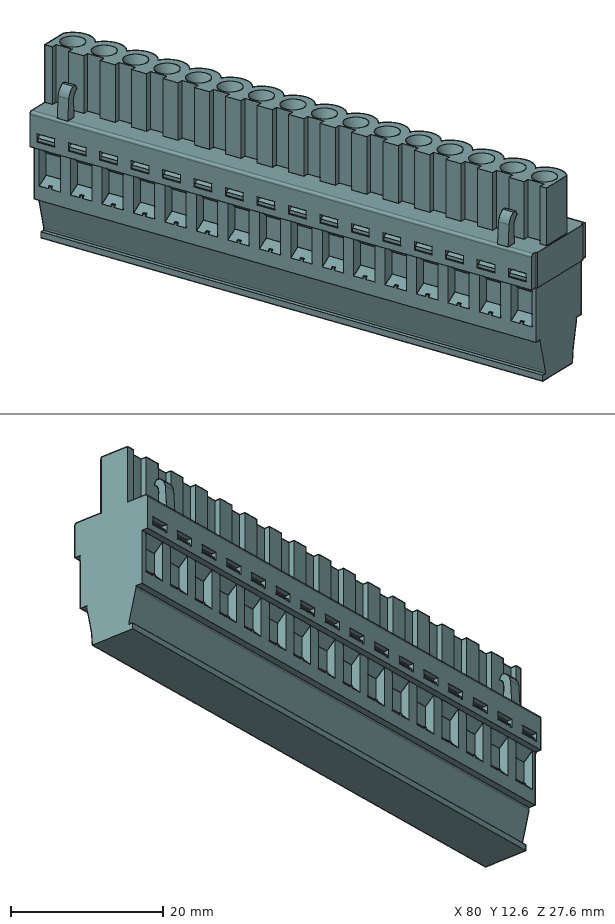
import cadquery as cq


POLE_COUNT = 16
PITCH = 5.0
TOTAL_LENGTH = 80
END_PAD = 0.2
BODY_LENGTH = TOTAL_LENGTH - END_PAD
BODY_LEFT = -TOTAL_LENGTH / 2
BODY_RIGHT = BODY_LEFT + BODY_LENGTH
FIRST_POLE = BODY_LEFT + PITCH / 2
POLE_CENTRES = [FIRST_POLE + PITCH * i for i in range(POLE_COUNT)]

DEPTH = 12.6
COLLAR_BOTTOM = 14.2
COLLAR_TOP = 19.3
COLLAR_FILLET = 0.4

BODY_FRONT = 1.0
BODY_BACK = DEPTH - BODY_FRONT
BODY_BOTTOM = 6.2
TAPER_FRONT = 2.0
TAPER_BACK = 10.5
TAPER_TOP = 5.9
FOOT_BACK = 9.5
FOOT_BACK_HEIGHT = 2.0
FOOT_BACK_STEP = 0.2
WAIST_FRONT = 3.2
WAIST_HEIGHT = 1.2
FOOT_FRONT = 2.6
FOOT_HEIGHT = 0.9

PLUG_TOP = 27.6
PLUG_FRONT = 3.4
SOCKET_Y = 6.3
PLUG_RADIUS = 3.0
GROOVE_WIDTH = 2.6
GROOVE_DEPTH = 0.9
SOCKET_DIAMETER = 3.4
SOCKET_FLOOR_DIAMETER = 1.6
SOCKET_DEPTH = 1.8

ENTRY_WIDTH = 3.4
ENTRY_BOTTOM = 8.3
ENTRY_INNER_WIDTH = 2.8
ENTRY_INNER_BOTTOM = 9.5
ENTRY_INNER_TOP = 12.7
ENTRY_DEPTH = 1.2
RIB_WIDTH = 0.5
RIB_HEIGHT = 0.3

SLOT_WIDTH = 2.8
SLOT_TOP = 16.3
SLOT_BOTTOM = 15.1
SLOT_LIP_TOP = 15.6
SLOT_LIP_DEPTH = 0.2
SLOT_BACK_HEIGHT = 0.3
SLOT_DEPTH = 0.8

HOOK_WIDTH = 1.7
HOOK_ROOT_Z = COLLAR_TOP - COLLAR_FILLET
HOOK_ROOT_FRONT = 0.2
HOOK_ROOT_BACK = 1.8
HOOK_BEND_FRONT = (0.5, 22.4)
HOOK_BEND_BACK = (1.6, 21.8)
HOOK_OUTER_CURVE = (0.8, 23.2)
HOOK_INNER_CURVE = (1.8, 22.6)
HOOK_CROWN = (1.5, 23.8)
HOOK_CROWN_FLAT = 0.5
HOOK_TIP = (2.4, 23.2)


def side_profile(points, left, length):
    """Extrude a (Y, Z) outline along +X."""
    return cq.Workplane("YZ", origin=(left, 0, 0)).polyline(points).close().extrude(length)


def block(left, right, front, back, bottom, top):
    size = (right - left, back - front, top - bottom)
    return cq.Workplane("XY").box(*size, centered=False).translate((left, front, bottom))


def body():
    """Constant section with a tapered lower half and a small foot along the front."""
    outline = [
        (FOOT_FRONT, 0),
        (FOOT_BACK, 0),
        (FOOT_BACK + FOOT_BACK_STEP, FOOT_BACK_HEIGHT),
        (TAPER_BACK, TAPER_TOP),
        (TAPER_BACK, BODY_BOTTOM),
        (BODY_BACK, BODY_BOTTOM),
        (BODY_BACK, COLLAR_TOP),
        (BODY_FRONT, COLLAR_TOP),
        (BODY_FRONT, BODY_BOTTOM),
        (TAPER_FRONT, BODY_BOTTOM),
        (TAPER_FRONT, TAPER_TOP),
        (WAIST_FRONT, WAIST_HEIGHT),
        (WAIST_FRONT, FOOT_HEIGHT),
        (FOOT_FRONT, FOOT_HEIGHT),
    ]
    return side_profile(outline, BODY_LEFT, BODY_LENGTH)


def collar():
    """Band around the body, rounded along its top, with the spacer pad on the +X end."""
    band = block(BODY_LEFT, BODY_RIGHT, 0, DEPTH, COLLAR_BOTTOM, COLLAR_TOP)
    band = band.edges("|X and >Z").fillet(COLLAR_FILLET)
    pad = block(BODY_RIGHT, BODY_RIGHT + END_PAD, BODY_FRONT, BODY_BACK, COLLAR_BOTTOM, COLLAR_TOP)
    return band.union(pad)


def plug_block():
    """Straight front wall, scalloped back wall and a shallow groove in front of each socket."""
    plug = block(BODY_LEFT, BODY_RIGHT, PLUG_FRONT, SOCKET_Y, COLLAR_TOP, PLUG_TOP)
    for x in POLE_CENTRES:
        cell = block(x - PITCH / 2, x + PITCH / 2, PLUG_FRONT, DEPTH, COLLAR_TOP, PLUG_TOP)
        barrel = cq.Workplane("XY", origin=(x, SOCKET_Y, COLLAR_TOP)).circle(PLUG_RADIUS)
        barrel = barrel.extrude(PLUG_TOP - COLLAR_TOP)
        plug = plug.union(barrel.intersect(cell))
    ends = block(BODY_LEFT, BODY_RIGHT, 0, DEPTH, COLLAR_TOP, PLUG_TOP)
    return plug.intersect(ends)


def groove(x):
    half = GROOVE_WIDTH / 2
    return block(x - half, x + half, 0, PLUG_FRONT + GROOVE_DEPTH, COLLAR_TOP, PLUG_TOP)


def socket(x):
    """Conical contact opening with a flat floor."""
    return (
        cq.Workplane("XY", origin=(x, SOCKET_Y, PLUG_TOP))
        .circle(SOCKET_DIAMETER / 2)
        .workplane(offset=-SOCKET_DEPTH)
        .circle(SOCKET_FLOOR_DIAMETER / 2)
        .loft()
    )


def wire_entry(x):
    """Funnel tapering inwards on all sides, less a small rib on its floor."""
    mouth_height = COLLAR_BOTTOM - ENTRY_BOTTOM
    inner_height = ENTRY_INNER_TOP - ENTRY_INNER_BOTTOM
    mouth_z = ENTRY_BOTTOM + mouth_height / 2
    inner_z = ENTRY_INNER_BOTTOM + inner_height / 2
    funnel = (
        cq.Workplane("XZ", origin=(x, BODY_FRONT, 0))
        .center(0, mouth_z)
        .rect(ENTRY_WIDTH, mouth_height)
        .workplane(offset=-ENTRY_DEPTH)
        .center(0, inner_z - mouth_z)
        .rect(ENTRY_INNER_WIDTH, inner_height)
        .loft(ruled=True)
    )
    rib = block(
        x - RIB_WIDTH / 2,
        x + RIB_WIDTH / 2,
        BODY_FRONT,
        BODY_FRONT + ENTRY_DEPTH,
        ENTRY_BOTTOM,
        ENTRY_BOTTOM + RIB_HEIGHT,
    )
    return funnel.cut(rib)


def test_slot(x):
    """Slot whose floor slopes down towards the front and ends in a low upright lip."""
    outline = [
        (0, SLOT_BOTTOM),
        (0, SLOT_TOP),
        (SLOT_DEPTH, SLOT_TOP),
        (SLOT_DEPTH, SLOT_TOP - SLOT_BACK_HEIGHT),
        (SLOT_LIP_DEPTH, SLOT_LIP_TOP),
        (SLOT_LIP_DEPTH, SLOT_BOTTOM),
    ]
    return side_profile(outline, x - SLOT_WIDTH / 2, SLOT_WIDTH)


def hook(x):
    """Upright latch whose top curls back towards the plug block."""
    return (
        cq.Workplane("YZ", origin=(x - HOOK_WIDTH / 2, 0, 0))
        .moveTo(HOOK_ROOT_FRONT, HOOK_ROOT_Z)
        .lineTo(*HOOK_BEND_FRONT)
        .threePointArc(HOOK_OUTER_CURVE, HOOK_CROWN)
        .line(HOOK_CROWN_FLAT, 0)
        .lineTo(*HOOK_TIP)
        .threePointArc(HOOK_INNER_CURVE, HOOK_BEND_BACK)
        .lineTo(HOOK_ROOT_BACK, HOOK_ROOT_Z)
        .close()
        .extrude(HOOK_WIDTH)
    )


def repeat(feature, places):
    """One compound holding the feature at every X place."""
    return cq.Workplane(cq.Compound.makeCompound([feature(x).val() for x in places]))


result = body().union(collar()).union(plug_block())
for cutter in (groove, socket, wire_entry, test_slot):
    result = result.cut(repeat(cutter, POLE_CENTRES))

HOOK_PLACES = (POLE_CENTRES[0] + PITCH / 2, POLE_CENTRES[-1] - PITCH / 2)
for place in HOOK_PLACES:
    result = result.union(hook(place))